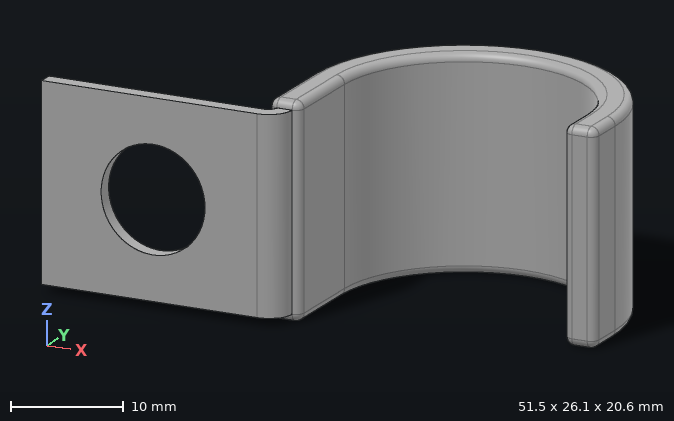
import cadquery as cq

inch = 25.4
strip_thickness = 0.06 * inch
strip_width = 0.75 * inch
cushion_cover = inch / 32
bore_radius = 15 / 32 * inch
bend_inner_radius = cushion_cover
outer_height = 26.12
outer_length = 51.51
short_leg = 5 / 32 * inch
hole_diameter = 13 / 32 * inch
hole_edge_distance = 7 / 16 * inch

cushion_thickness = strip_thickness + 2 * cushion_cover
cushion_width = strip_width + 2 * cushion_cover
loop_radius = bore_radius + cushion_thickness
strip_inner_radius = bore_radius + cushion_cover
strip_outer_radius = strip_inner_radius + strip_thickness
bend_outer_radius = bend_inner_radius + strip_thickness
tab_bottom = loop_radius - outer_height
tab_top = tab_bottom + strip_thickness
bend_top = tab_top + bend_inner_radius
root_top = bend_top + cushion_cover
bend_center_x = -strip_inner_radius - bend_outer_radius
tab_end = loop_radius - outer_length


def make_cushion():
    """U-shaped cushion with every outside edge rounded over the strip."""
    cushion = (
        cq.Workplane("XY")
        .moveTo(-loop_radius, bend_top)
        .lineTo(-loop_radius, 0)
        .threePointArc((0, loop_radius), (loop_radius, 0))
        .lineTo(loop_radius, -short_leg)
        .lineTo(bore_radius, -short_leg)
        .lineTo(bore_radius, 0)
        .threePointArc((0, bore_radius), (-bore_radius, 0))
        .lineTo(-bore_radius, bend_top)
        .close()
        .extrude(cushion_width / 2, both=True)
    )
    rim_edges = cushion.faces("|Z").edges().vals()
    end_edges = cushion.faces("|Y").edges("|Z").vals()
    return cushion.newObject(rim_edges + end_edges).fillet(cushion_cover)


def make_tab():
    """Flat mounting tab and the bend that leads into the long leg."""
    return (
        cq.Workplane("XY")
        .moveTo(tab_end, tab_bottom)
        .lineTo(bend_center_x, tab_bottom)
        .radiusArc((-strip_inner_radius, bend_top), -bend_outer_radius)
        .lineTo(-strip_inner_radius, root_top)
        .lineTo(-strip_outer_radius, root_top)
        .lineTo(-strip_outer_radius, bend_top)
        .radiusArc((bend_center_x, tab_top), bend_inner_radius)
        .lineTo(tab_end, tab_top)
        .close()
        .extrude(strip_width / 2, both=True)
    )


def make_hole():
    """Cutter for the screw hole through the tab."""
    return (
        cq.Workplane("XZ", origin=(tab_end + hole_edge_distance, tab_top, 0))
        .circle(hole_diameter / 2)
        .extrude(strip_thickness)
    )


result = make_cushion().union(make_tab()).cut(make_hole())